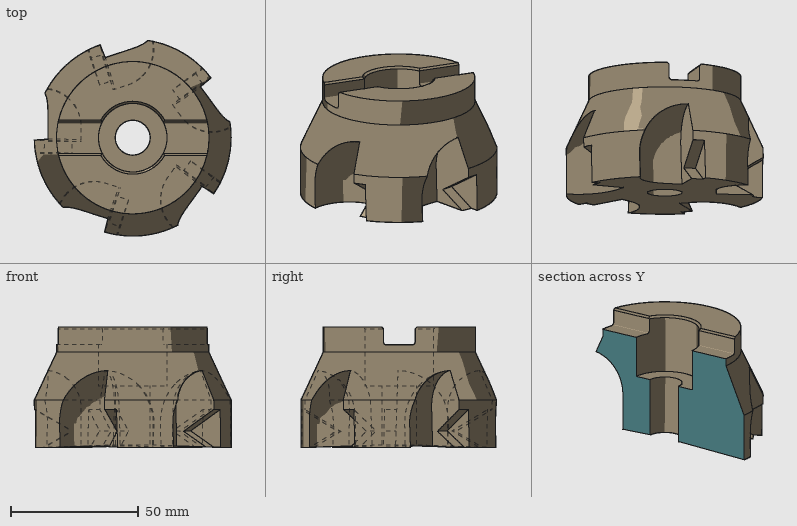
import cadquery as cq
import math

height = 47.35
rim_radius = 38.7
rim_height = 18.65
hub_radius = 29.9
hub_bottom = 37.45
dish_depth = 1.2

bore_radius = 13.45
bore_depth = 23.2
bore_chamfer = 0.85
hole_radius = 6.8

slot_width = 12.4
slot_depth = 7.0
slot_fillet = 1.1
slot_chamfer = 0.8

flute_count = 5
first_flute_angle = 180.0
flute_radius = 20.6
floor_arch_radius = 5.7
floor_distance = 20.3
flute_center_z = 9.8
rake_offset = 1.15
axial_tilt = 1.8

seat_depth = 6.2
seat_apex_distance = 23.75
seat_apex_z = 6.35
seat_half_angle = 30.0
seat_height = 14.85
seat_overrun = 1.55

outside = rim_radius + 7.7


def make_body():
    profile = (
        cq.Workplane("XZ")
        .moveTo(0, dish_depth)
        .lineTo(rim_radius, 0)
        .lineTo(rim_radius, rim_height)
        .lineTo(hub_radius, hub_bottom)
        .lineTo(hub_radius, height)
        .lineTo(0, height)
        .close()
    )
    return profile.revolve(360, (0, 0, 0), (0, 1, 0))


def make_bore():
    """Chamfered blind bore with a smaller through hole."""
    chamfer_bottom = height - bore_chamfer
    profile = (
        cq.Workplane("XZ")
        .lineTo(hole_radius, 0)
        .lineTo(hole_radius, height - bore_depth)
        .lineTo(bore_radius, height - bore_depth)
        .lineTo(bore_radius, chamfer_bottom)
        .lineTo(bore_radius + bore_chamfer, height)
        .lineTo(0, height)
        .close()
    )
    return profile.revolve(360, (0, 0, 0), (0, 1, 0))


def make_slot():
    """Slot with rounded bottom corners and chamfered upper edges."""
    half = slot_width / 2
    bottom = height - slot_depth
    channel = (
        cq.Workplane("XY")
        .box(2 * outside, slot_width, 2 * slot_depth)
        .translate((0, 0, bottom + slot_depth))
        .edges("|X and <Z")
        .fillet(slot_fillet)
    )
    flare = (
        cq.Workplane("YZ")
        .moveTo(-half, height - slot_chamfer)
        .lineTo(half, height - slot_chamfer)
        .lineTo(half + slot_chamfer, height)
        .lineTo(-half - slot_chamfer, height)
        .close()
        .extrude(outside, both=True)
    )
    return channel.union(flare)


def make_flute():
    """Arched flute on the +X side, opening toward -Y from its rake face."""
    fillet = flute_radius - floor_arch_radius
    wall_start = floor_distance + fillet
    diagonal = fillet * math.sqrt(0.5)
    profile = (
        cq.Workplane("XY")
        .moveTo(floor_distance, 0)
        .lineTo(floor_distance, -floor_arch_radius)
        .threePointArc(
            (wall_start - diagonal, -floor_arch_radius - diagonal),
            (wall_start, -flute_radius),
        )
        .lineTo(outside, -flute_radius)
        .lineTo(outside, 0)
        .close()
    )
    arch = profile.revolve(90, (0, 0, 0), (-1, 0, 0))
    straight = profile.toPending().extrude(-2 * flute_center_z)
    return (
        arch.union(straight)
        .rotate((0, 0, 0), (1, 0, 0), axial_tilt)
        .translate((0, rake_offset, flute_center_z))
    )


def make_seat():
    """V-shaped recess behind the rake face, open outward and downward."""
    slope = math.tan(math.radians(seat_half_angle))
    top_distance = seat_apex_distance + (seat_height - seat_apex_z) / slope
    bottom_distance = seat_apex_distance + (seat_apex_z + seat_overrun) / slope
    return (
        cq.Workplane("XZ")
        .moveTo(seat_apex_distance, seat_apex_z)
        .lineTo(top_distance, seat_height)
        .lineTo(outside, seat_height)
        .lineTo(outside, -seat_overrun)
        .lineTo(bottom_distance, -seat_overrun)
        .close()
        .extrude(-seat_depth)
        .rotate((0, 0, 0), (1, 0, 0), axial_tilt)
    )


result = make_body().cut(make_bore()).cut(make_slot())

flute_and_seat = make_flute().union(make_seat())
for index in range(flute_count):
    angle = first_flute_angle + index * 360 / flute_count
    result = result.cut(flute_and_seat.rotate((0, 0, 0), (0, 0, 1), angle))